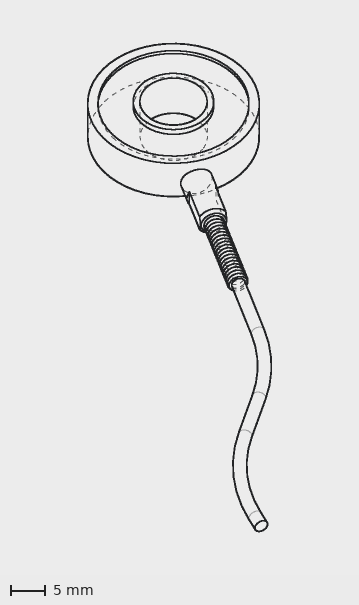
import cadquery as cq
import math

BODY_DIAMETER = 24.9
BODY_HEIGHT = 6.7
RECESS_DIAMETER = 21.9
RECESS_DEPTH = 0.6
HUB_DIAMETER = 11.7
HUB_TOP = 7.1
BORE_DIAMETER = 9.7

FITTING_DIAMETER = 4.7
FITTING_CLEARANCE = 0.3
FITTING_AXIS_HEIGHT = FITTING_CLEARANCE + FITTING_DIAMETER / 2
FITTING_END_X = 21.4
FITTING_CHAMFER = 0.5
FLATS_START_X = 15.5
ACROSS_FLATS = 3.95

SLEEVE_DIAMETER = 3.1
SLEEVE_END_X = 34.5
GROOVE_ROOT_DIAMETER = 2.8
RIB_COUNT = 19

OVERALL_LENGTH = 96.3
CABLE_DIAMETER = 2.0
BEND_START_X = 44.9
BEND_RADIUS = 26.0
SLOPE_ANGLE = math.radians(30)
SLOPE_LENGTH = 8.1
TIP_ANGLE = math.radians(8)


def rod(diameter, start_x, end_x):
    """Round bar on the fitting axis."""
    plane = cq.Workplane("YZ", origin=(start_x, 0, FITTING_AXIS_HEIGHT))
    return plane.circle(diameter / 2).extrude(end_x - start_x)


def make_body():
    disc = cq.Workplane("XY").circle(BODY_DIAMETER / 2).extrude(BODY_HEIGHT)
    recess = (
        cq.Workplane("XY", origin=(0, 0, BODY_HEIGHT - RECESS_DEPTH))
        .circle(RECESS_DIAMETER / 2)
        .extrude(RECESS_DEPTH)
    )
    hub = cq.Workplane("XY").circle(HUB_DIAMETER / 2).extrude(HUB_TOP)
    return disc.cut(recess).union(hub)


def make_fitting():
    start_x = (HUB_DIAMETER + BODY_DIAMETER) / 4
    fitting = rod(FITTING_DIAMETER, start_x, FITTING_END_X)
    fitting = fitting.faces(">X").chamfer(FITTING_CHAMFER)
    flats_length = FITTING_END_X - FLATS_START_X
    flat_depth = (FITTING_DIAMETER - ACROSS_FLATS) / 2
    for side in (-1, 1):
        cutter = cq.Workplane("XY").box(flats_length, flat_depth, FITTING_DIAMETER)
        flat_y = side * (ACROSS_FLATS + flat_depth) / 2
        fitting = fitting.cut(
            cutter.translate((FLATS_START_X + flats_length / 2, flat_y, FITTING_AXIS_HEIGHT))
        )
    return fitting


def make_sleeve():
    """Sleeve of round-topped ribs that meet in sharp grooves, revolved about the fitting axis."""
    rib_radius = SLEEVE_DIAMETER / 2
    root_radius = GROOVE_ROOT_DIAMETER / 2
    rib_width = (SLEEVE_END_X - FITTING_END_X) / RIB_COUNT
    profile = cq.Workplane("XY").moveTo(FITTING_END_X, 0).lineTo(FITTING_END_X, root_radius)
    for index in range(RIB_COUNT):
        rib_start = FITTING_END_X + index * rib_width
        crest = (rib_start + rib_width / 2, rib_radius)
        profile = profile.threePointArc(crest, (rib_start + rib_width, root_radius))
    profile = profile.lineTo(SLEEVE_END_X, 0).close()
    sleeve = profile.revolve(360, (0, 0, 0), (1, 0, 0))
    return sleeve.translate((0, 0, FITTING_AXIS_HEIGHT))


def arc_point(center, angle, side):
    """Point on a bend where the cable heads at the given angle; side is +1 above the center."""
    return (
        center[0] - side * BEND_RADIUS * math.sin(angle),
        center[1] + side * BEND_RADIUS * math.cos(angle),
    )


def make_cable():
    first_center = (BEND_START_X, -BEND_RADIUS)
    slope_start = arc_point(first_center, -SLOPE_ANGLE, 1)
    slope_end = (
        slope_start[0] + SLOPE_LENGTH * math.cos(SLOPE_ANGLE),
        slope_start[1] - SLOPE_LENGTH * math.sin(SLOPE_ANGLE),
    )
    second_center = (
        slope_end[0] + BEND_RADIUS * math.sin(SLOPE_ANGLE),
        slope_end[1] + BEND_RADIUS * math.cos(SLOPE_ANGLE),
    )
    tip_start = arc_point(second_center, TIP_ANGLE, -1)

    tip_x = OVERALL_LENGTH - BODY_DIAMETER / 2 - CABLE_DIAMETER / 2 * math.sin(TIP_ANGLE)
    tip_y = tip_start[1] + (tip_x - tip_start[0]) * math.tan(TIP_ANGLE)

    path = (
        cq.Workplane("XY", origin=(0, 0, FITTING_AXIS_HEIGHT))
        .moveTo(FITTING_END_X, 0)
        .lineTo(BEND_START_X, 0)
        .threePointArc(arc_point(first_center, -SLOPE_ANGLE / 2, 1), slope_start)
        .lineTo(*slope_end)
        .threePointArc(arc_point(second_center, (TIP_ANGLE - SLOPE_ANGLE) / 2, -1), tip_start)
        .lineTo(tip_x, tip_y)
    )
    section = cq.Workplane("YZ", origin=(FITTING_END_X, 0, FITTING_AXIS_HEIGHT))
    return section.circle(CABLE_DIAMETER / 2).sweep(path)


bore = cq.Workplane("XY").circle(BORE_DIAMETER / 2).extrude(HUB_TOP)
result = (
    make_body()
    .union(make_fitting())
    .union(make_sleeve())
    .union(make_cable(), clean=False)
    .cut(bore, clean=False)
)